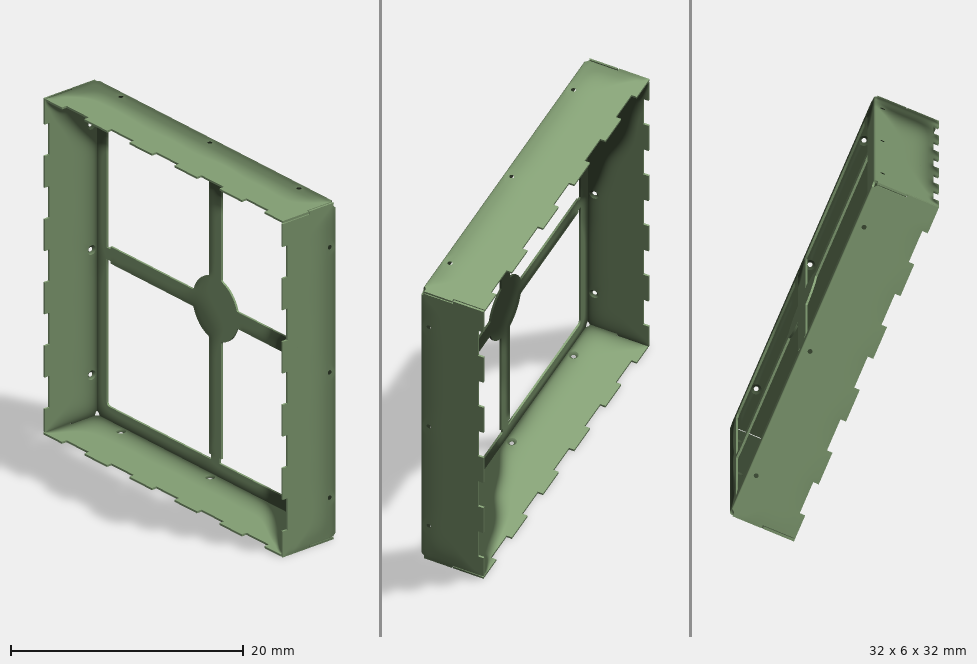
import cadquery as cq

side = 32.0
depth = 6.0
sheet = 0.2

frame_width = 1.5
window_radius = 0.35
rib_width = 1.6
neck_width = 1.12
neck_length = 0.48
disc_radius = 3.0
joint_radius = 0.2

tooth_width = 3.0
tooth_height = 0.5
notch_count = 5
hole_diameter = 0.4
countersink_diameter = 0.9
hole_spacing = 11.9
hole_setback = 0.77

seam_step_depth = depth / 2
seam_gap = 0.1
relief_radius = 0.4

half = side / 2
back = depth / 2
front = -depth / 2
inner_half = half - sheet
window_half = half - frame_width


def block(x_range, y_range, z_range):
    """A box spanning the given limits."""
    (x0, x1), (y0, y1), (z0, z1) = x_range, y_range, z_range
    box = cq.Workplane("XY").box(x1 - x0, y1 - y0, z1 - z0, centered=False)
    return box.translate((x0, y0, z0))


def around_part(shape):
    """The shape repeated on all four sides, turned about the Y axis."""
    copies = shape
    for turn in range(1, 4):
        copies = copies.union(shape.rotate((0, 0, 0), (0, 1, 0), 90 * turn))
    return copies


def tray():
    """Open tray with a back sheet and four walls, rounded outside the back bends."""
    outer = cq.Workplane("XY").box(side, depth, side).faces(">Y").edges().fillet(sheet)
    cavity = block((-inner_half, inner_half), (front, back - sheet), (-inner_half, inner_half))
    return outer.cut(cavity)


def window_opening():
    """One of the four windows between frame, ribs and disc, right through the back sheet."""
    rib_edge = rib_width / 2
    neck_edge = neck_width / 2
    neck_end = window_half - neck_length
    through = (back - sheet, back)

    disc = cq.Workplane("XZ", origin=(0, back, 0)).circle(disc_radius).extrude(sheet)
    opening = block((rib_edge, window_half), through, (rib_edge, window_half))
    opening = opening.edges("|Y and >X and >Z").fillet(window_radius).cut(disc)
    joints = cq.selectors.BoxSelector((0, front, 0), (disc_radius, back, disc_radius))
    opening = opening.edges("|Y").edges(joints).fillet(joint_radius)

    beside_top_neck = block((neck_edge, disc_radius), through, (neck_end, window_half))
    beside_side_neck = block((neck_end, window_half), through, (neck_edge, disc_radius))
    return opening.union(beside_top_neck).union(beside_side_neck)


def wall_notches():
    """Notches between the teeth on the free edge of the top wall."""
    pitch = 2 * tooth_width
    notches = cq.Workplane("XY")
    for index in range(notch_count):
        start = (index - (notch_count - 1) / 2) * pitch - tooth_width / 2
        notch = block((start, start + tooth_width), (front, front + tooth_height), (inner_half, half))
        notches = notches.union(notch)
    return notches


def wall_holes():
    """Three holes through the top wall near the back sheet, each a cone widening inward."""
    holes = cq.Workplane("XY")
    for x in (-hole_spacing, 0, hole_spacing):
        cone = (
            cq.Workplane("XY", origin=(x, back - hole_setback, inner_half))
            .circle(countersink_diameter / 2)
            .workplane(offset=sheet)
            .circle(hole_diameter / 2)
            .loft()
        )
        holes = holes.union(cone)
    return holes


def corner_seam():
    """Stepped gap at the top left corner, where the top and left walls interlock."""
    step = back - seam_step_depth
    gap_edge = inner_half - seam_gap
    front_gap = block((-inner_half, -gap_edge), (front, step), (gap_edge, half))
    back_gap = block((-half, -gap_edge), (step - seam_gap, back), (gap_edge, inner_half))
    step_gap = block((-half, -gap_edge), (step - seam_gap, step), (gap_edge, half))
    return front_gap.union(back_gap).union(step_gap)


def corner_relief():
    """Round relief through the bends where the back sheet meets the top and left walls."""
    return cq.Workplane("XY").sphere(relief_radius).translate((-inner_half, back, inner_half))


result = tray()
for cutter in (window_opening, wall_notches, wall_holes, corner_seam, corner_relief):
    result = result.cut(around_part(cutter()))